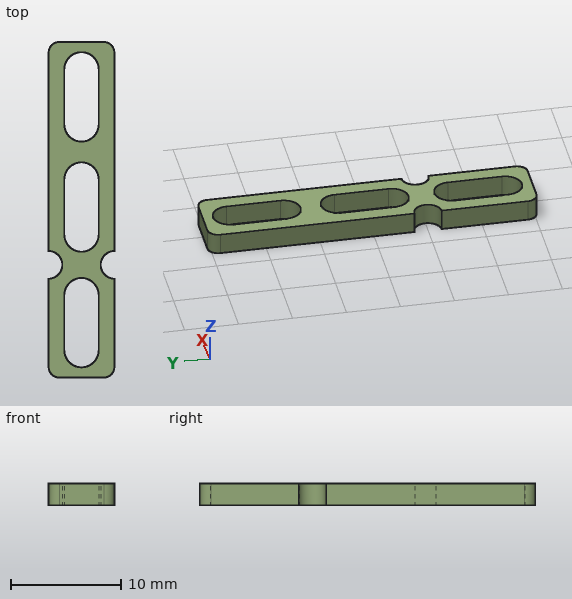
import cadquery as cq

width = 6.0
length = 30.5
thickness = 2.0
corner_radius = 1.0

slot_width = 3.1
slot_length = 8.1
end_margin = 0.95
notch_web = 2.4

notch_radius = 1.25

first_slot_y = -length / 2 + end_margin + slot_length / 2
second_slot_y = first_slot_y + slot_length + notch_web
third_slot_y = length / 2 - end_margin - slot_length / 2
notch_y = (first_slot_y + second_slot_y) / 2


def make_plate():
    """Flat bar with rounded vertical corners, resting on Z = 0."""
    plate = cq.Workplane("XY").box(width, length, thickness, centered=(True, True, False))
    return plate.edges("|Z").fillet(corner_radius)


def cut_slots(body):
    """Cut the round-ended slots through the plate on its centreline."""
    slot_centres = [(0, first_slot_y), (0, second_slot_y), (0, third_slot_y)]
    slots = (
        cq.Workplane("XY")
        .pushPoints(slot_centres)
        .slot2D(slot_length, slot_width, angle=90)
        .extrude(thickness)
    )
    return body.cut(slots)


def cut_notches(body):
    """Cut a half-round notch through each long side."""
    notch_centres = [(side * width / 2, notch_y) for side in (-1, 1)]
    notches = cq.Workplane("XY").pushPoints(notch_centres).circle(notch_radius).extrude(thickness)
    return body.cut(notches)


result = cut_notches(cut_slots(make_plate()))